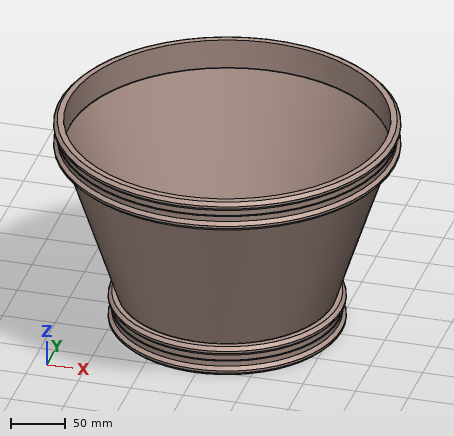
import cadquery as cq

large_bore_radius = 150.0
small_bore_radius = 100.0
cone_height = 150.0
cone_wall = 0.9
ring_height = 29.4
sleeve_wall = 5.9
bead_rise = 3.3
bead_flat = 2.35
ridge_rise = 0.8
ridge_width = 1.15

bead_height = bead_flat + 2 * bead_rise

def revolve_about_z(outline):
    return outline.close().revolve(360, (0, 0, 0), (0, 1, 0))


def make_ring(bore_radius, base_z):
    """Coupling ring: a sleeve with a chamfered bead at each end and a pointed ridge at mid-height."""
    waist_radius = bore_radius + sleeve_wall
    crest_radius = waist_radius + bead_rise
    ridge_radius = waist_radius + ridge_rise
    top_z = base_z + ring_height
    middle_z = base_z + ring_height / 2
    outline = (
        cq.Workplane("XZ")
        .moveTo(bore_radius, base_z)
        .lineTo(waist_radius, base_z)
        .lineTo(crest_radius, base_z + bead_rise)
        .lineTo(crest_radius, base_z + bead_rise + bead_flat)
        .lineTo(waist_radius, base_z + bead_height)
        .lineTo(waist_radius, middle_z - ridge_width / 2)
        .lineTo(ridge_radius, middle_z)
        .lineTo(waist_radius, middle_z + ridge_width / 2)
        .lineTo(waist_radius, top_z - bead_height)
        .lineTo(crest_radius, top_z - bead_rise - bead_flat)
        .lineTo(crest_radius, top_z - bead_rise)
        .lineTo(waist_radius, top_z)
        .lineTo(bore_radius, top_z)
    )
    return revolve_about_z(outline)


def make_cone():
    """Thin conical shell that joins the two rings, flush with their bores."""
    base_z = ring_height
    top_z = base_z + cone_height
    outline = (
        cq.Workplane("XZ")
        .moveTo(small_bore_radius, base_z)
        .lineTo(small_bore_radius + cone_wall, base_z)
        .lineTo(large_bore_radius + cone_wall, top_z)
        .lineTo(large_bore_radius, top_z)
    )
    return revolve_about_z(outline)


small_ring = make_ring(small_bore_radius, 0)
large_ring = make_ring(large_bore_radius, ring_height + cone_height)
cone = make_cone()

result = cq.Compound.makeCompound([small_ring.val(), cone.val(), large_ring.val()])